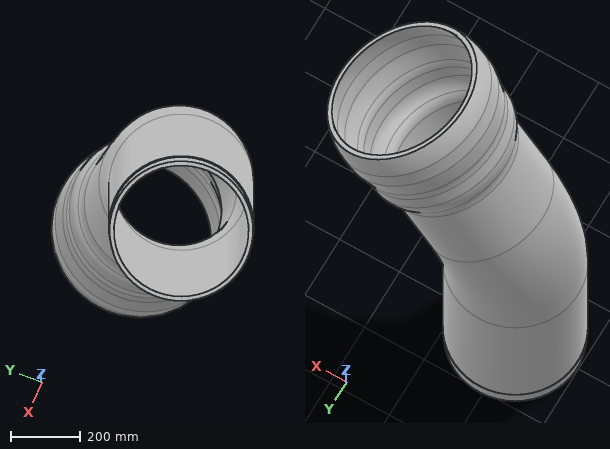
import cadquery as cq

pipe_diameter = 420.0
bore_diameter = 390.0
wall = (pipe_diameter - bore_diameter) / 2
straight_length = 579.0
bend_angle = 30
bend_radius = 680.0
outlet_length = 577.0

spigot_diameter = 415.0
spigot_length = 51.0
spigot_step = 5.0

rim_diameter = 480.0
bulge_diameter = 510.0
collar_diameter = 477.0
bulge_front = 66.0
bulge_back = 115.0
bulge_blend_turn = 179.0
collar_front = 210.0
collar_back = 252.0
collar_blend_turn = 305.0
socket_depth = 342.0


def s_blend(profile, start, end, turn_height):
    """Join two axial lines by a pair of tangent arcs meeting at turn_height."""
    fraction = (turn_height - start[1]) / (end[1] - start[1])
    turn = (start[0] + fraction * (end[0] - start[0]), turn_height)
    profile = profile.tangentArcPoint(turn, relative=False)
    return profile.tangentArcPoint(end, relative=False)


def outlet_body(inset):
    """Outlet pipe with its socket, revolved; every radius is reduced by inset."""
    pipe_r = pipe_diameter / 2 - inset
    rim_r = rim_diameter / 2 - inset
    bulge_r = bulge_diameter / 2 - inset
    collar_r = collar_diameter / 2 - inset

    def height(depth):
        return outlet_length - depth

    pipe_end = (pipe_r, height(socket_depth))
    collar_start = (collar_r, height(collar_back))
    collar_end = (collar_r, height(collar_front))
    bulge_start = (bulge_r, height(bulge_back))
    bulge_end = (bulge_r, height(bulge_front))

    profile = cq.Workplane("XZ").lineTo(pipe_r, 0).lineTo(*pipe_end)
    profile = s_blend(profile, pipe_end, collar_start, height(collar_blend_turn))
    profile = profile.lineTo(*collar_end)
    profile = s_blend(profile, collar_end, bulge_start, height(bulge_blend_turn))
    profile = profile.lineTo(*bulge_end)
    profile = profile.tangentArcPoint((rim_r, outlet_length), relative=False)
    profile = profile.lineTo(0, outlet_length).close()
    body = profile.revolve(360, (0, 0), (0, 1))

    body = body.translate((0, 0, straight_length))
    return body.rotate(
        (bend_radius, 0, straight_length),
        (bend_radius, 1, straight_length),
        bend_angle,
    )


def bend_body(diameter):
    """Solid bend of the given diameter, on top of the straight pipe."""
    return (
        cq.Workplane("XY")
        .workplane(offset=straight_length)
        .circle(diameter / 2)
        .revolve(bend_angle, (bend_radius, 0), (bend_radius, 1))
    )


def inlet_outer():
    """Solid straight pipe with the reduced spigot at its lower end."""
    spigot_r = spigot_diameter / 2
    pipe_r = pipe_diameter / 2
    return (
        cq.Workplane("XZ")
        .lineTo(spigot_r, 0)
        .lineTo(spigot_r, spigot_length)
        .lineTo(pipe_r, spigot_length + spigot_step)
        .lineTo(pipe_r, straight_length)
        .lineTo(0, straight_length)
        .close()
        .revolve(360, (0, 0), (0, 1))
    )


inlet_bore = cq.Workplane("XY").circle(bore_diameter / 2).extrude(straight_length)

inlet = inlet_outer().cut(inlet_bore)
bend = bend_body(pipe_diameter).cut(bend_body(bore_diameter))
outlet = outlet_body(0).cut(outlet_body(wall))

result = inlet.union(bend).union(outlet)